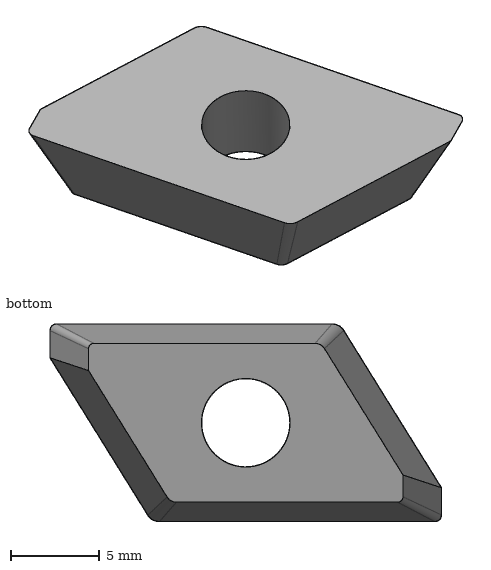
import cadquery as cq

length = 22.2
width = 11.2
height = 5.5
base_ratio = 0.803
hole_diameter = 5.0
obtuse_corner_x = 5.33
end_flat_y = 3.69
obtuse_radius = 0.78
acute_radius = 0.38


def rounded_outline(ratio):
    """Point-symmetric parallelogram with clipped tips, scaled about its centre."""
    half_outline = [
        (-length / 2, -end_flat_y),
        (-length / 2, -width / 2),
        (obtuse_corner_x, -width / 2),
    ]
    opposite_half = [(-x, -y) for x, y in half_outline]
    corners = [(x * ratio, y * ratio) for x, y in half_outline + opposite_half]
    outline = cq.Sketch().polygon(corners + corners[:1])
    roundings = [(1, acute_radius), (2, obtuse_radius), (4, acute_radius), (5, obtuse_radius)]
    for index, radius in roundings:
        at_corner = cq.selectors.NearestToPointSelector((*corners[index], 0))
        outline = outline.reset().vertices(at_corner).fillet(radius * ratio)
    return outline.reset()


body = (
    cq.Workplane("XY")
    .placeSketch(
        rounded_outline(base_ratio),
        rounded_outline(1.0).moved(cq.Location(cq.Vector(0, 0, height))),
    )
    .loft(ruled=True)
)

hole = cq.Workplane("XY").circle(hole_diameter / 2).extrude(height)

result = body.cut(hole)